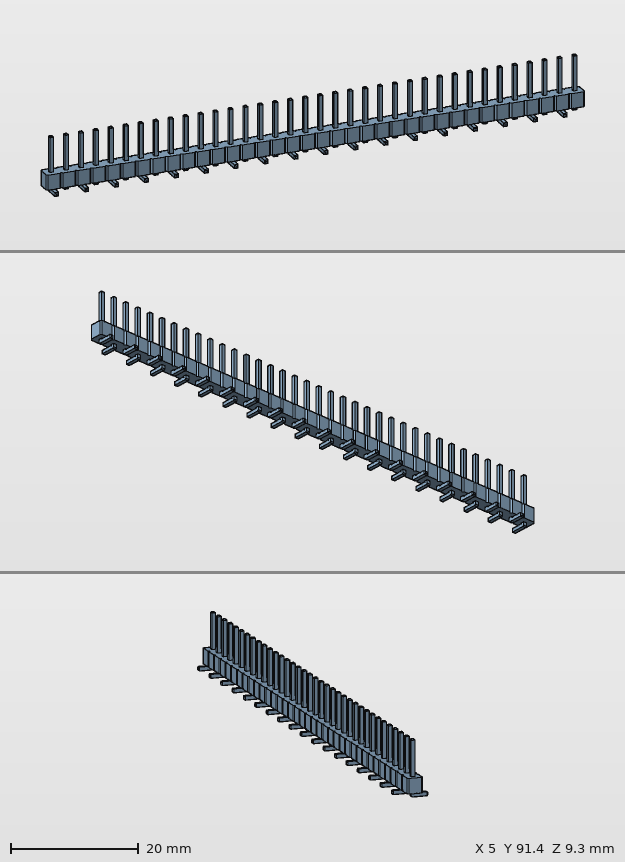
import cadquery as cq

pin_count = 36
row_length = 91.4
total_height = 9.3
pitch = row_length / pin_count
foot_span = 5.0

body_width = pitch
body_height = pitch
body_bottom = 0.78
corner_chamfer = pitch / 10

pin_size = 0.6
tip_chamfer = pin_size / 4
heel_chamfer = 0.2

foot_reach = foot_span / 2


def pin_y(index):
    return (index + 0.5) * pitch - row_length / 2


def side_outline(side):
    """Points along one long side of the body, from -Y to +Y, with a V notch between cells."""
    outer_x = side * body_width / 2
    inner_x = outer_x - side * corner_chamfer
    half_flat = pitch / 2 - corner_chamfer
    points = [(inner_x, -row_length / 2)]
    for index in range(pin_count):
        y = pin_y(index)
        points.append((outer_x, y - half_flat))
        points.append((outer_x, y + half_flat))
        points.append((inner_x, y + pitch / 2))
    return points


def make_body():
    outline = side_outline(1) + side_outline(-1)[::-1]
    return (
        cq.Workplane("XY", origin=(0, 0, body_bottom))
        .polyline(outline)
        .close()
        .extrude(body_height)
    )


def make_pin(side):
    """An upright square post with a foot pointing to side (+1 or -1) along X, tips and heel chamfered."""
    post = (
        cq.Workplane("XY")
        .rect(pin_size, pin_size)
        .extrude(total_height)
        .faces(">Z")
        .chamfer(tip_chamfer)
    )
    foot = (
        cq.Workplane("YZ", origin=(0, 0, pin_size / 2))
        .rect(pin_size, pin_size)
        .extrude(side * foot_reach)
        .faces(">X" if side > 0 else "<X")
        .chamfer(tip_chamfer)
    )
    heel_edge = cq.selectors.NearestToPointSelector((-side * pin_size / 2, 0, 0))
    return post.union(foot).edges(heel_edge).chamfer(heel_chamfer).val()


def make_pins(side, first_index):
    """Every second pin of the row, starting at first_index."""
    pin = make_pin(side)
    positions = [(0, pin_y(index)) for index in range(first_index, pin_count, 2)]
    return cq.Workplane("XY").pushPoints(positions).eachpoint(pin, combine=True)


result = make_body().union(make_pins(1, 0)).union(make_pins(-1, 1))